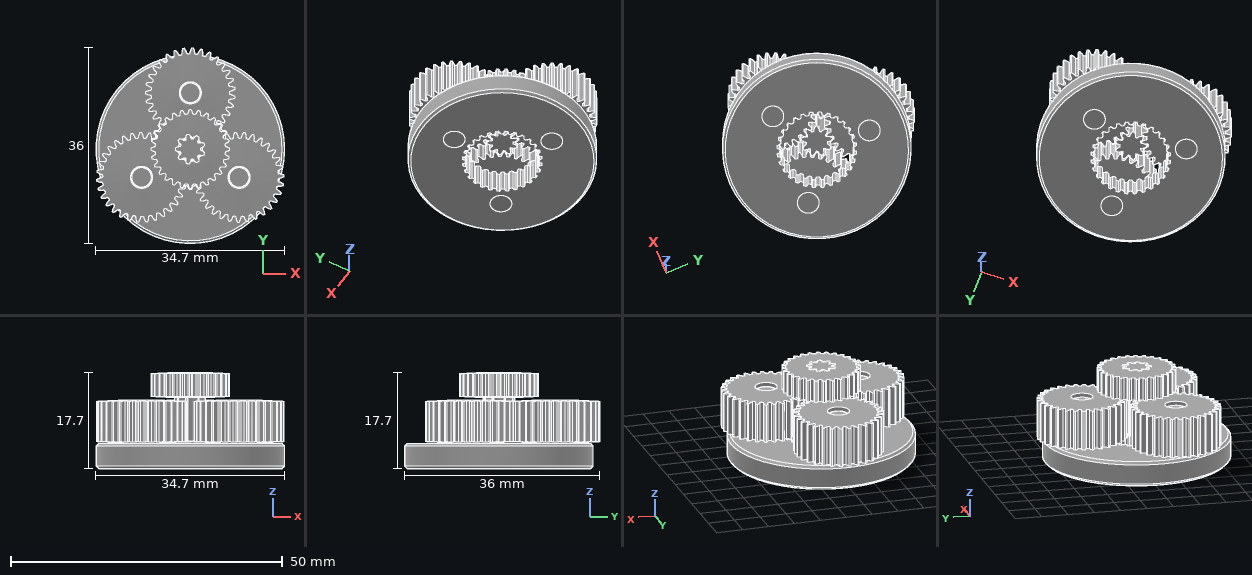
import cadquery as cq
import math

carrier_radius = 17.35
carrier_height = 4.7
carrier_chamfer = 0.5

planet_module = 0.5
pressure_angle = math.radians(20)
pinion_teeth = 9
planet_teeth = 31
planet_angles = [90, 210, 330]
planet_distance = 10.36
pinion_phase = 180
mesh_ratio = pinion_teeth / planet_teeth

planet_height = 8.0
planet_bottom = carrier_height
planet_tip_radius = 8.275
planet_root_radius = 7.18
planet_tooth_width = 0.74
planet_hub_radius = 2.5
planet_bore_radius = 2.03

pin_radius = 2.0
pin_top = 12.0
pin_chamfer = 0.2

pinion_bottom = 5.1
pinion_tip_radius = 2.95
pinion_root_radius = 1.95
pinion_tooth_width = 1.0
spline_tip_radius = 2.73
spline_root_radius = 1.87
spline_tooth_width = 0.9
spline_bore_tooth_radius = 2.2

sun_teeth = 28
sun_module = 0.485
sun_phase = 90
sun_gap = 0.4
sun_bottom = planet_bottom + planet_height + sun_gap
sun_height = 4.61
sun_tip_radius = 7.25
sun_root_radius = 6.45
sun_tooth_width = 0.75
sun_hub_radius = 3.25

socket_clearance = 0.08
socket_tooth_radius = 6.75

face_slope = 0.05
root_round_depth = 0.14
flank_steps = 4


def involute(angle):
    return math.tan(angle) - angle


def polar(radius, angle):
    return (radius * math.cos(angle), radius * math.sin(angle))


def gear_prism(module, teeth, tip_radius, root_radius, tooth_width, phase, height):
    """Involute spur gear on the XY plane; tooth_width is measured along the pitch circle."""
    pitch_radius = module * teeth / 2
    base_radius = pitch_radius * math.cos(pressure_angle)
    pitch_half_angle = tooth_width / 2 / pitch_radius
    flank_start = max(root_radius + root_round_depth, base_radius)

    def half_angle(radius):
        local_angle = math.acos(min(1, base_radius / radius))
        return pitch_half_angle + involute(pressure_angle) - involute(local_angle)

    radii = [flank_start + (tip_radius - flank_start) * i / flank_steps for i in range(flank_steps + 1)]
    tooth_step = 2 * math.pi / teeth
    first_center = math.radians(phase)

    outline = cq.Workplane("XY").moveTo(*polar(flank_start, first_center - half_angle(flank_start)))
    for tooth in range(teeth):
        center = first_center + tooth * tooth_step
        rising = [polar(r, center - half_angle(r)) for r in radii]
        falling = [polar(r, center + half_angle(r)) for r in reversed(radii)]
        gap_middle = polar(root_radius, center + tooth_step / 2)
        gap_end = polar(flank_start, center + tooth_step - half_angle(flank_start))
        outline = outline.spline(rising[1:], includeCurrent=True)
        outline = outline.threePointArc(polar(tip_radius, center), falling[0])
        outline = outline.spline(falling[1:], includeCurrent=True)
        outline = outline.threePointArc(gap_middle, gap_end)
    return outline.close().extrude(height)


def coned_blank(hub_radius, outer_radius, height):
    """Disc with flat hubs and faces that fall gently away to the rim."""
    fall = face_slope * (outer_radius - hub_radius)
    half_section = [
        (0, 0),
        (hub_radius, 0),
        (outer_radius, fall),
        (outer_radius, height - fall),
        (hub_radius, height),
        (0, height),
    ]
    return cq.Workplane("XZ").polyline(half_section).close().revolve(360, (0, 0, 0), (0, 1, 0))


def at_planet(angle):
    x, y = polar(planet_distance, math.radians(angle))
    return cq.Vector(x, y, 0)


def make_carrier():
    disc = cq.Workplane("XY").circle(carrier_radius).extrude(carrier_height)
    disc = disc.faces("<Z or >Z").edges().chamfer(carrier_chamfer)
    pin_holes = cq.Workplane("XY").pushPoints([at_planet(a).toTuple()[:2] for a in planet_angles])
    disc = disc.cut(pin_holes.circle(pin_radius).extrude(carrier_height))
    socket = gear_prism(
        sun_module,
        sun_teeth,
        sun_tip_radius + socket_clearance,
        socket_tooth_radius,
        sun_tooth_width + 2 * socket_clearance,
        sun_phase,
        carrier_height,
    )
    return disc.cut(socket)


def make_pin(angle):
    pin = cq.Workplane("XY").circle(pin_radius).extrude(pin_top)
    return pin.faces(">Z").edges().chamfer(pin_chamfer).translate(at_planet(angle))


def make_planet(angle):
    pinion_offset = (pinion_phase - angle) % (360 / pinion_teeth)
    gap_angle = angle + 180 - pinion_offset * mesh_ratio
    phase = gap_angle + 180 / planet_teeth
    planet = gear_prism(
        planet_module,
        planet_teeth,
        planet_tip_radius,
        planet_root_radius,
        planet_tooth_width,
        phase,
        planet_height,
    )
    planet = planet.intersect(coned_blank(planet_hub_radius, planet_tip_radius, planet_height))
    planet = planet.cut(cq.Workplane("XY").circle(planet_bore_radius).extrude(planet_height))
    return planet.translate(at_planet(angle) + cq.Vector(0, 0, planet_bottom))


def make_spline(root_radius):
    spline = gear_prism(
        planet_module,
        pinion_teeth,
        spline_tip_radius,
        root_radius,
        spline_tooth_width,
        pinion_phase,
        sun_height,
    )
    return spline.translate((0, 0, sun_bottom))


def make_pinion():
    toothed_length = sun_bottom - pinion_bottom
    pinion = gear_prism(
        planet_module,
        pinion_teeth,
        pinion_tip_radius,
        pinion_root_radius,
        pinion_tooth_width,
        pinion_phase,
        toothed_length,
    )
    return pinion.translate((0, 0, pinion_bottom)).union(make_spline(spline_root_radius))


def make_sun():
    sun = gear_prism(
        sun_module, sun_teeth, sun_tip_radius, sun_root_radius, sun_tooth_width, sun_phase, sun_height
    )
    sun = sun.intersect(coned_blank(sun_hub_radius, sun_tip_radius, sun_height))
    return sun.translate((0, 0, sun_bottom)).cut(make_spline(spline_bore_tooth_radius))


carrier = make_carrier()
pins = [make_pin(angle).val() for angle in planet_angles]
planets = [make_planet(angle).val() for angle in planet_angles]
pinion = make_pinion()
sun = make_sun()

result = cq.Compound.makeCompound([carrier.val(), *pins, *planets, pinion.val(), sun.val()])